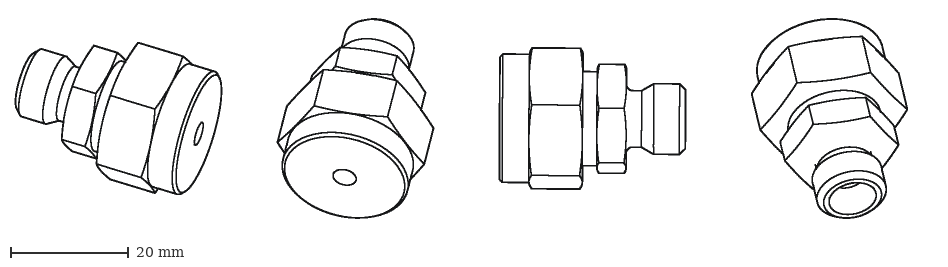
import cadquery as cq
import math

TOTAL_LENGTH = 31.5

STUD_DIAMETER = 12.0
STUD_END = 5.4
STUD_CHAMFER = 1.0
GROOVE_DIAMETER = 9.65
GROOVE_CONE_ANGLE = 30.0
GROOVE_FILLET = 1.0

BODY_HEX_FLATS = 17.0
BODY_HEX_START = 10.02
BODY_HEX_END = 15.0
NECK_DIAMETER = 16.0
NUT_HEX_FLATS = 22.0
NUT_HEX_START = 17.42
NUT_HEX_END = 26.5
NUT_COLLAR_DIAMETER = 21.8
NUT_COLLAR_CHAMFER = 0.5
HEX_CHAMFER_ANGLE = 15.0

SEAT_MOUTH_DIAMETER = 8.13
SEAT_FLOOR_DIAMETER = 6.0
SEAT_HALF_ANGLE = 12.0
THROUGH_DIAMETER = 4.0


def tangent(degrees):
    return math.tan(math.radians(degrees))


def revolve_about_x(profile):
    """Turn a closed (X, radius) profile around the X axis."""
    return profile.close().revolve(360, (0, 0, 0), (1, 0, 0))


def chamfered_hexagon(start, end, flats):
    """Hexagon with flats facing +Z and -Z, its corners turned off conically at both ends."""
    length = end - start
    flat_radius = flats / 2
    corner_diameter = flats / math.cos(math.pi / 6)
    corner_radius = corner_diameter / 2
    cone_length = (corner_radius - flat_radius) * tangent(HEX_CHAMFER_ANGLE)

    prism = cq.Workplane("YZ").workplane(offset=start).polygon(6, corner_diameter).extrude(length)
    envelope = revolve_about_x(
        cq.Workplane("XY")
        .moveTo(start, 0)
        .lineTo(start, flat_radius)
        .lineTo(start + cone_length, corner_radius)
        .lineTo(end - cone_length, corner_radius)
        .lineTo(end, flat_radius)
        .lineTo(end, 0)
    )
    return prism.intersect(envelope)


def turned_core():
    """Stud, run-out groove, neck and nut collar as one turned profile."""
    stud_radius = STUD_DIAMETER / 2
    groove_radius = GROOVE_DIAMETER / 2
    neck_radius = NECK_DIAMETER / 2
    collar_radius = NUT_COLLAR_DIAMETER / 2
    groove_start = STUD_END + (stud_radius - groove_radius) / tangent(GROOVE_CONE_ANGLE)
    fillet_start = BODY_HEX_START - GROOVE_FILLET
    fillet_radius_end = groove_radius + GROOVE_FILLET
    arc_offset = GROOVE_FILLET * math.sin(math.pi / 4)
    fillet_middle = (fillet_start + arc_offset, fillet_radius_end - arc_offset)

    return revolve_about_x(
        cq.Workplane("XY")
        .lineTo(0, stud_radius - STUD_CHAMFER)
        .lineTo(STUD_CHAMFER, stud_radius)
        .lineTo(STUD_END, stud_radius)
        .lineTo(groove_start, groove_radius)
        .lineTo(fillet_start, groove_radius)
        .threePointArc(fillet_middle, (BODY_HEX_START, fillet_radius_end))
        .lineTo(BODY_HEX_START, neck_radius)
        .lineTo(NUT_HEX_START, neck_radius)
        .lineTo(NUT_HEX_START, collar_radius)
        .lineTo(TOTAL_LENGTH - NUT_COLLAR_CHAMFER, collar_radius)
        .lineTo(TOTAL_LENGTH, collar_radius - NUT_COLLAR_CHAMFER)
        .lineTo(TOTAL_LENGTH, 0)
    )


def bore():
    """Tapered seat at the stud end and the hole through the whole fitting."""
    mouth_radius = SEAT_MOUTH_DIAMETER / 2
    floor_radius = SEAT_FLOOR_DIAMETER / 2
    through_radius = THROUGH_DIAMETER / 2
    seat_depth = (mouth_radius - floor_radius) / tangent(SEAT_HALF_ANGLE)

    return revolve_about_x(
        cq.Workplane("XY")
        .lineTo(0, mouth_radius)
        .lineTo(seat_depth, floor_radius)
        .lineTo(seat_depth, through_radius)
        .lineTo(TOTAL_LENGTH, through_radius)
        .lineTo(TOTAL_LENGTH, 0)
    )


body_hexagon = chamfered_hexagon(BODY_HEX_START, BODY_HEX_END, BODY_HEX_FLATS)
nut_hexagon = chamfered_hexagon(NUT_HEX_START, NUT_HEX_END, NUT_HEX_FLATS)

result = turned_core().union(body_hexagon).union(nut_hexagon).cut(bore())